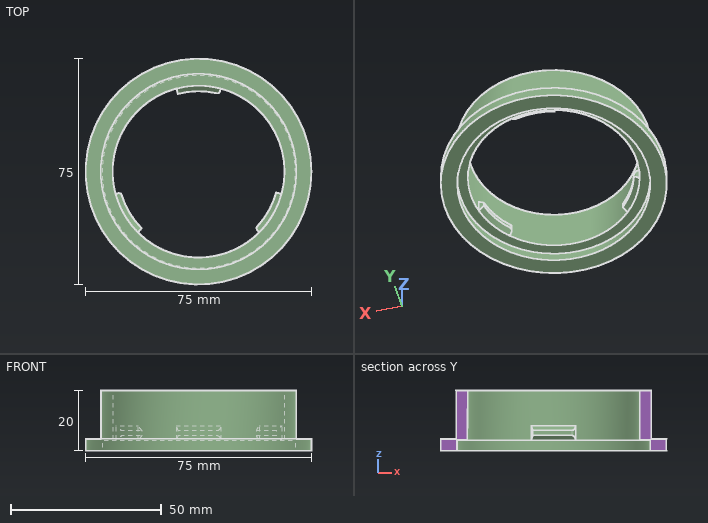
import cadquery as cq

flange_radius = 37.5
flange_thickness = 4.0
sleeve_radius = 32.5
wall_thickness = 4.0
total_height = 20.0
bore_radius = sleeve_radius - wall_thickness

recess_radius = 32.0
recess_depth = 3.5

tab_count = 3
tab_angle = 30.0
tab_projection = 1.9
tab_height_at_wall = 4.8
tab_taper = 1.6
tab_corner_radius = 1.0
tab_embed = 0.75
first_tab_direction = 90.0


def make_ring():
    """Flanged sleeve with a through bore and an underside recess."""
    flange = cq.Workplane("XY").circle(flange_radius).extrude(flange_thickness)
    sleeve = cq.Workplane("XY").circle(sleeve_radius).extrude(total_height)
    bore = cq.Workplane("XY").circle(bore_radius).extrude(total_height)
    recess = cq.Workplane("XY").circle(recess_radius).extrude(recess_depth)
    return flange.union(sleeve).cut(bore).cut(recess)


def make_tab():
    """One tab, swept counterclockwise from the X axis, its first inner corner rounded."""
    inner_radius = bore_radius - tab_projection
    outer_radius = bore_radius + tab_embed
    taper_over_embed = tab_taper * tab_embed / tab_projection
    tab_top = recess_depth + tab_height_at_wall
    profile = [
        (inner_radius, recess_depth + tab_taper),
        (bore_radius, recess_depth),
        (outer_radius, recess_depth),
        (outer_radius, tab_top + taper_over_embed),
        (inner_radius, tab_top - tab_taper),
    ]
    tab = cq.Workplane("XZ").polyline(profile).close().revolve(tab_angle, (0, 0), (0, 1))
    inner_corner = cq.selectors.NearestToPointSelector((inner_radius, 0, recess_depth + tab_height_at_wall / 2))
    return tab.edges("|Z").edges(inner_corner).fillet(tab_corner_radius)


result = make_ring()
tab = make_tab()
for index in range(tab_count):
    start_angle = first_tab_direction - tab_angle / 2 + index * 360.0 / tab_count
    result = result.union(tab.rotate((0, 0, 0), (0, 0, 1), start_angle))